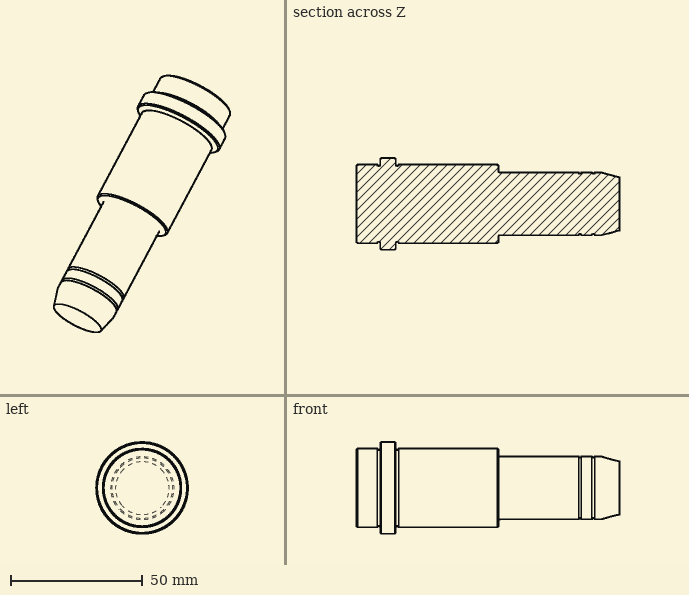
import cadquery as cq
import math

total_length = 100.0
flange_start = 9.0
flange_width = 6.0
shoulder = 54.0
taper_length = 7.0

body_diameter = 30.0
flange_diameter = 35.0
pin_diameter = 24.0

edge_chamfer = 0.5
root_fillet = 0.5
taper_angle = 15.0

groove_radius = 0.5
groove_to_taper = 2.5
pin_groove_pitch = 5.0

body_radius = body_diameter / 2
flange_radius = flange_diameter / 2
pin_radius = pin_diameter / 2
groove_width = 2 * groove_radius
flange_end = flange_start + flange_width
taper_start = total_length - taper_length
tip_radius = pin_radius - taper_length * math.tan(math.radians(taper_angle))

undercut_starts = (flange_start - groove_width, flange_end)
last_pin_groove = taper_start - groove_to_taper - groove_width
pin_groove_starts = (last_pin_groove - pin_groove_pitch, last_pin_groove)


def revolve_about_x(outline):
    """Close an outline drawn in the XY plane and turn it about the X axis."""
    return outline.close().revolve(360, (0, 0, 0), (1, 0, 0))


def stepped_pin():
    """Head, flange, body and tapered pin as one turned solid."""
    outline = (
        cq.Workplane("XY")
        .moveTo(0, 0)
        .lineTo(0, body_radius - edge_chamfer)
        .lineTo(edge_chamfer, body_radius)
        .lineTo(flange_start, body_radius)
        .lineTo(flange_start, flange_radius - edge_chamfer)
        .lineTo(flange_start + edge_chamfer, flange_radius)
        .lineTo(flange_end - edge_chamfer, flange_radius)
        .lineTo(flange_end, flange_radius - edge_chamfer)
        .lineTo(flange_end, body_radius)
        .lineTo(shoulder - edge_chamfer, body_radius)
        .lineTo(shoulder, body_radius - edge_chamfer)
        .lineTo(shoulder, pin_radius + root_fillet)
        .radiusArc((shoulder + root_fillet, pin_radius), -root_fillet)
        .lineTo(taper_start, pin_radius)
        .lineTo(total_length, tip_radius)
        .lineTo(total_length, 0)
    )
    return revolve_about_x(outline)


def groove(start, surface_radius):
    """Ring with a semicircular section, to be cut from a cylinder."""
    outline = (
        cq.Workplane("XY")
        .moveTo(start, surface_radius)
        .threePointArc(
            (start + groove_radius, surface_radius - groove_radius),
            (start + groove_width, surface_radius),
        )
    )
    return revolve_about_x(outline)


result = stepped_pin()

for undercut_start in undercut_starts:
    result = result.cut(groove(undercut_start, body_radius))

for pin_groove_start in pin_groove_starts:
    result = result.cut(groove(pin_groove_start, pin_radius))